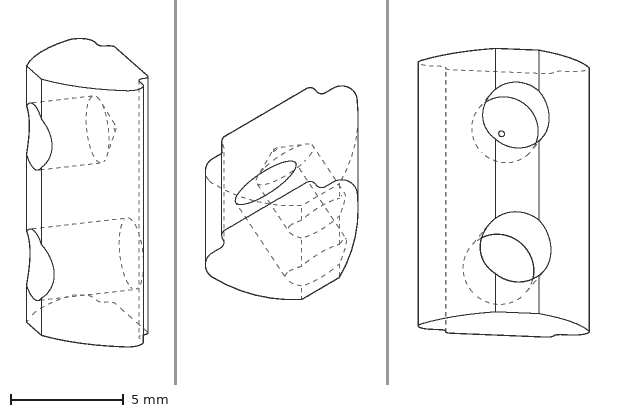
import cadquery as cq
import math

length = 12.0
depth = 4.6

neck_half_width = 2.44
neck_height = 0.61
neck_radius = 0.3
lobe_radius = 0.7
half_width = 3.85
flank_start_y = 2.95
flank_mid_x = 2.69
flank_mid_y = 1.35
flat_half_width = 0.98

through_diameter = 3.19
through_z = 3.0
blind_diameter = 3.0
blind_z = 9.0
blind_straight_depth = 3.0
tip_radius = 0.13
drill_point_angle = 118.0

shoulder_y = depth - neck_height
lobe_x = half_width - lobe_radius
lobe_y = shoulder_y - lobe_radius
flank_start_x = lobe_x + math.sqrt(lobe_radius**2 - (lobe_y - flank_start_y)**2)


def make_body():
    """Half of the mushroom-shaped section, extruded along Z and mirrored."""
    half = (
        cq.Workplane("XY")
        .lineTo(flat_half_width, 0)
        .threePointArc((flank_mid_x, flank_mid_y), (flank_start_x, flank_start_y))
        .threePointArc((half_width, lobe_y), (lobe_x, shoulder_y))
        .lineTo(neck_half_width + neck_radius, shoulder_y)
        .radiusArc((neck_half_width, shoulder_y + neck_radius), neck_radius)
        .lineTo(neck_half_width, depth - neck_radius)
        .radiusArc((neck_half_width - neck_radius, depth), -neck_radius)
        .lineTo(0, depth)
        .close()
        .extrude(length)
    )
    return half.union(half.mirror("YZ")).clean()


def make_through_hole():
    return (
        cq.Workplane("XZ", origin=(0, 0, through_z))
        .circle(through_diameter / 2)
        .extrude(-depth)
    )


def make_blind_hole():
    """Straight bore ending in a drill-point cone with a small flat tip."""
    radius = blind_diameter / 2
    cone_depth = (radius - tip_radius) / math.tan(math.radians(drill_point_angle / 2))
    tip_y = blind_straight_depth + cone_depth
    profile = [
        (0, 0),
        (radius, 0),
        (radius, blind_straight_depth),
        (tip_radius, tip_y),
        (0, tip_y),
    ]
    bore = cq.Workplane("XY").polyline(profile).close().revolve(360, (0, 0, 0), (0, 1, 0))
    return bore.translate((0, 0, blind_z))


result = make_body().cut(make_through_hole()).cut(make_blind_hole())